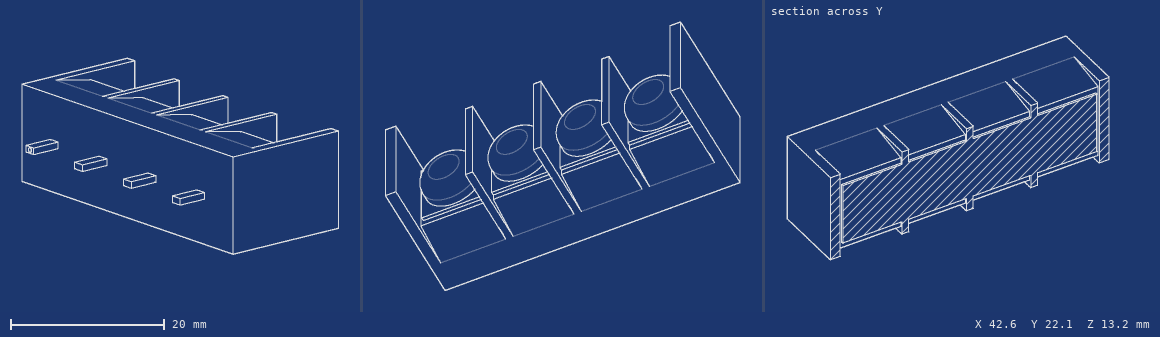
import cadquery as cq

length = 42.6
height = 13.25
overall_depth = 22.15
pin_length = 4.17
housing_depth = overall_depth - pin_length

pole_count = 4
pitch = 9.85
pole_positions = [(i - (pole_count - 1) / 2) * pitch for i in range(pole_count)]
divider_positions = [x + pitch / 2 for x in pole_positions[:-1]]

end_wall = 1.55
divider = 1.05
divider_setback = 1.28
divider_depth = housing_depth - divider_setback

taper_start = 4.5
core_depth = 10.48
taper_drop = 1.1

plate_size = 9.3
plate_thickness = 0.5
head_diameter = 8.3
head_height = 3.05
head_rounding = 1.9

pin_width = 1.58
pin_thickness = 0.9
mark_diameter = 0.6
mark_depth = 0.5


def y_box(x_center, width, tall, y_start, y_end):
    """Box centred on x_center and on Z = 0, running from y_start to y_end."""
    box = cq.Workplane("XY").box(width, y_end - y_start, tall)
    return box.translate((x_center, (y_start + y_end) / 2, 0))


def make_core():
    """Housing base with tapered top and bottom faces behind the walls."""
    half = height / 2
    end_half = half - taper_drop
    profile = [
        (0, -half),
        (taper_start, -half),
        (core_depth, -end_half),
        (core_depth, end_half),
        (taper_start, half),
        (0, half),
    ]
    return cq.Workplane("YZ").polyline(profile).close().extrude(length / 2, both=True)


def make_screw_head(x_center):
    """Round screw head with a domed rim, standing on the clamp plate."""
    radius = head_diameter / 2
    base = core_depth + plate_thickness
    seat = cq.Workplane("XZ", origin=(x_center, base, 0))
    head = seat.circle(radius).extrude(-head_height)
    return head.faces(">Y").edges().fillet(head_rounding)


def make_pole(x_center):
    """Clamp plate, screw head and solder pin of one terminal."""
    plate = y_box(x_center, plate_size, plate_size, core_depth, core_depth + plate_thickness)
    pin = y_box(x_center, pin_width, pin_thickness, -pin_length, 0)
    return plate, make_screw_head(x_center), pin


result = make_core()

for side in (-1, 1):
    wall_x = side * (length - end_wall) / 2
    result = result.union(y_box(wall_x, end_wall, height, 0, housing_depth))

for divider_x in divider_positions:
    result = result.union(y_box(divider_x, divider, height, 0, divider_depth))

for pole_x in pole_positions:
    for piece in make_pole(pole_x):
        result = result.union(piece)

pin_tip = cq.Workplane("XZ", origin=(pole_positions[0], -pin_length, 0))
result = result.cut(pin_tip.circle(mark_diameter / 2).extrude(-mark_depth))